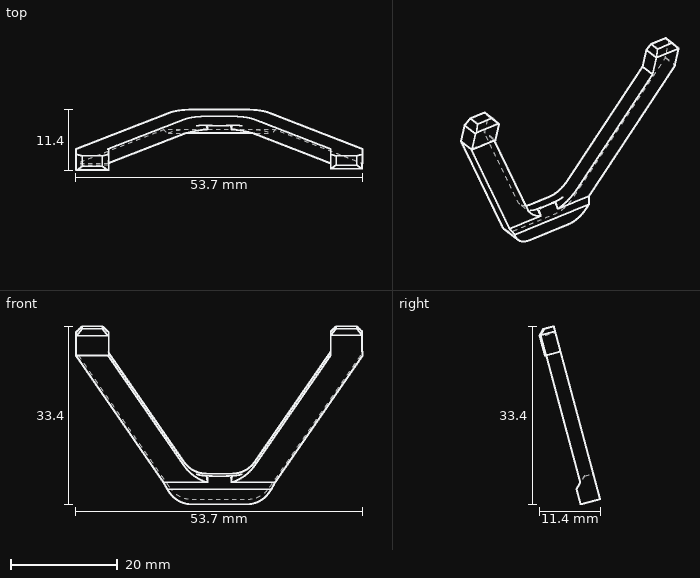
import cadquery as cq
import math

TILT = 15.0
ARM_RISE = 1.5
ARM_WIDTH = 5.0
ARM_THICKNESS = 2.8
TIP_X = 26.85
FOOT_CORNER_X = 7.78
BEND_RADIUS = 5.0

FOOT_THICKNESS = 3.8
FOOT_FRONT_HEIGHT = 3.0
FOOT_SLOPE_TOP = 4.0
CROSSBAR_HEIGHT = 4.98

FLARE_X = 2.2
FLARE_UNDERCUT = 0.1
LEDGE_HALF_LENGTH = 1.42

TOTAL_HEIGHT = 33.52
LEFT_EAR_INNER_X = -20.65
LEFT_EAR_THICKNESS = 3.05
LEFT_EAR_SIDE_CHAMFER = 1.2
RIGHT_EAR_OUTER_X = 26.7
RIGHT_EAR_SIDE_CHAMFER = 1.0
EAR_FRONT_CHAMFER = 1.0

arm_angle = math.atan(ARM_RISE)
arm_span = ARM_WIDTH / math.sin(arm_angle)
tip_z = (TIP_X - FOOT_CORNER_X) * ARM_RISE
tip_inner_x = TIP_X - arm_span
bend_tangent = BEND_RADIUS * math.tan(arm_angle / 2)
bend_corner_x = FOOT_CORNER_X + CROSSBAR_HEIGHT / ARM_RISE - arm_span
bend_start_x = bend_corner_x - bend_tangent
bend_end_x = bend_corner_x + bend_tangent * math.cos(arm_angle)
bend_end_z = CROSSBAR_HEIGHT + bend_tangent * math.sin(arm_angle)
bend_mid_x = bend_start_x + BEND_RADIUS * math.sin(arm_angle / 2)
bend_mid_z = CROSSBAR_HEIGHT + BEND_RADIUS * (1 - math.cos(arm_angle / 2))
slope_run = (FOOT_THICKNESS - ARM_THICKNESS) / (FOOT_SLOPE_TOP - FOOT_FRONT_HEIGHT)
ledge_depth = ARM_THICKNESS - (CROSSBAR_HEIGHT - FOOT_SLOPE_TOP) * slope_run
flare_depth = ledge_depth - FLARE_UNDERCUT


def make_plate():
    """V-shaped plate with the rounded inner bend."""
    return (
        cq.Workplane("XZ")
        .moveTo(-FOOT_CORNER_X, 0)
        .lineTo(FOOT_CORNER_X, 0)
        .lineTo(TIP_X, tip_z)
        .lineTo(tip_inner_x, tip_z)
        .lineTo(bend_end_x, bend_end_z)
        .threePointArc((bend_mid_x, bend_mid_z), (bend_start_x, CROSSBAR_HEIGHT))
        .lineTo(-bend_start_x, CROSSBAR_HEIGHT)
        .threePointArc((-bend_mid_x, bend_mid_z), (-bend_end_x, bend_end_z))
        .lineTo(-tip_inner_x, tip_z)
        .lineTo(-TIP_X, tip_z)
        .close()
        .extrude(ARM_THICKNESS)
    )


def make_crossbar_slope():
    """Material in front of the crossbar's slope, between the two flares."""
    section = [
        (-ARM_THICKNESS, FOOT_SLOPE_TOP),
        (-ARM_THICKNESS, CROSSBAR_HEIGHT),
        (-ledge_depth, CROSSBAR_HEIGHT),
    ]
    return cq.Workplane("YZ").polyline(section).close().extrude(FLARE_X, both=True)


def make_flare(side):
    """Cut that flares the bend from its rounding out to a wider arc on the front face.

    side is -1 for the left bend and 1 for the right one.
    """
    chord_x = bend_end_x - FLARE_X
    chord_z = bend_end_z - FOOT_SLOPE_TOP
    chord_angle = math.atan2(chord_z, chord_x)
    half_sweep = arm_angle - chord_angle
    sagitta = math.hypot(chord_x, chord_z) / 2 * math.tan(half_sweep / 2)
    wide_mid_x = (bend_end_x + FLARE_X) / 2 + sagitta * math.sin(chord_angle)
    wide_mid_z = (bend_end_z + FOOT_SLOPE_TOP) / 2 - sagitta * math.cos(chord_angle)
    return (
        cq.Workplane("XZ", origin=(0, -flare_depth, 0))
        .moveTo(side * bend_end_x, bend_end_z)
        .threePointArc((side * bend_mid_x, bend_mid_z), (side * bend_start_x, CROSSBAR_HEIGHT))
        .lineTo(side * LEDGE_HALF_LENGTH, CROSSBAR_HEIGHT)
        .lineTo(side * LEDGE_HALF_LENGTH, bend_end_z)
        .close()
        .workplane(offset=ARM_THICKNESS - flare_depth)
        .moveTo(side * bend_end_x, bend_end_z)
        .threePointArc((side * wide_mid_x, wide_mid_z), (side * FLARE_X, FOOT_SLOPE_TOP))
        .lineTo(side * LEDGE_HALF_LENGTH, CROSSBAR_HEIGHT)
        .lineTo(side * LEDGE_HALF_LENGTH, bend_end_z)
        .close()
        .loft(ruled=True)
    )


def make_foot():
    """Thick foot with a sloped shoulder, trimmed to the line of the arms' outer edges."""
    section = [
        (0, 0),
        (-FOOT_THICKNESS, 0),
        (-FOOT_THICKNESS, FOOT_FRONT_HEIGHT),
        (-ARM_THICKNESS, FOOT_SLOPE_TOP),
        (0, FOOT_SLOPE_TOP),
    ]
    top_half_width = FOOT_CORNER_X + FOOT_SLOPE_TOP / ARM_RISE
    bar = cq.Workplane("YZ").polyline(section).close().extrude(top_half_width, both=True)
    outline = [
        (-FOOT_CORNER_X, 0),
        (FOOT_CORNER_X, 0),
        (top_half_width, FOOT_SLOPE_TOP),
        (-top_half_width, FOOT_SLOPE_TOP),
    ]
    trim = cq.Workplane("XZ").polyline(outline).close().extrude(FOOT_THICKNESS)
    return bar.intersect(trim)


def make_corner_trim(side):
    """Material outside the rounded lower corner of the foot."""
    run_x = FOOT_CORNER_X + bend_tangent * math.cos(arm_angle)
    run_z = bend_tangent * math.sin(arm_angle)
    start_x = FOOT_CORNER_X - bend_tangent
    mid_x = start_x + BEND_RADIUS * math.sin(arm_angle / 2)
    mid_z = BEND_RADIUS * (1 - math.cos(arm_angle / 2))
    return (
        cq.Workplane("XZ")
        .moveTo(side * start_x, 0)
        .threePointArc((side * mid_x, mid_z), (side * run_x, run_z))
        .lineTo(side * FOOT_CORNER_X, 0)
        .close()
        .extrude(FOOT_THICKNESS)
    )


def make_ear(x_min, x_max, thickness, side_chamfer):
    """Upright block on an arm tip, chamfered along its front and side top edges."""
    front_outline = [
        (x_min, tip_z),
        (x_max, tip_z),
        (x_max, TOTAL_HEIGHT - side_chamfer),
        (x_max - side_chamfer, TOTAL_HEIGHT),
        (x_min + side_chamfer, TOTAL_HEIGHT),
        (x_min, TOTAL_HEIGHT - side_chamfer),
    ]
    side_outline = [
        (0, tip_z),
        (-thickness, tip_z),
        (-thickness, TOTAL_HEIGHT - EAR_FRONT_CHAMFER),
        (EAR_FRONT_CHAMFER - thickness, TOTAL_HEIGHT),
        (0, TOTAL_HEIGHT),
    ]
    block = cq.Workplane("XZ").polyline(front_outline).close().extrude(thickness)
    trim = cq.Workplane("YZ", origin=(x_min, 0, 0)).polyline(side_outline).close().extrude(x_max - x_min)
    return block.intersect(trim)


bracket = make_plate().union(make_foot()).cut(make_crossbar_slope())
for side in (-1, 1):
    bracket = bracket.cut(make_flare(side)).cut(make_corner_trim(side))

left_ear = make_ear(-TIP_X, LEFT_EAR_INNER_X, LEFT_EAR_THICKNESS, LEFT_EAR_SIDE_CHAMFER)
right_ear = make_ear(tip_inner_x, RIGHT_EAR_OUTER_X, ARM_THICKNESS, RIGHT_EAR_SIDE_CHAMFER)
bracket = bracket.union(left_ear).union(right_ear)

result = bracket.rotate((0, 0, 0), (1, 0, 0), TILT)